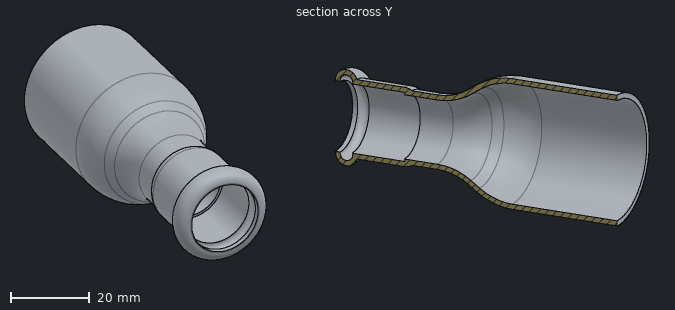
import cadquery as cq
import math


length = 81.0
large_radius = 35.0 / 2
neck_radius = 20.0 / 2
socket_radius = 21.3 / 2
mouth_radius = 18.7 / 2
bore_radius = 32.0 / 2
wall = large_radius - bore_radius

large_tube_end = 30.1
reducer_angle = math.radians(34)
shoulder_arc = 18.2
throat_arc = 15.7
socket_step_start = 58.9
socket_step_end = 61.1
bead_arc = 3.2
bead_top_radius = 12.9

sin_a = math.sin(reducer_angle)
cos_a = math.cos(reducer_angle)
arcs_drop = (shoulder_arc + throat_arc) * (1 - cos_a)
cone_length = (large_radius - neck_radius - arcs_drop) / sin_a
neck_start = large_tube_end + (shoulder_arc + throat_arc) * sin_a + cone_length * cos_a
bead_x = length - bead_arc
bead_centre_radius = bead_top_radius - bead_arc


def arc_point(centre, radius, angle):
    """Point on a circle, with the angle measured from the radial direction towards +X."""
    return (centre[0] + radius * math.sin(angle), centre[1] + radius * math.cos(angle))


def reducer(profile, offset):
    """Add the shoulder, cone and throat, moved inward by offset, to the profile."""
    shoulder_centre = (large_tube_end, large_radius - shoulder_arc)
    throat_centre = (neck_start, neck_radius + throat_arc)
    shoulder_size = shoulder_arc - offset
    throat_size = -(throat_arc + offset)
    return (
        profile
        .threePointArc(
            arc_point(shoulder_centre, shoulder_size, reducer_angle / 2),
            arc_point(shoulder_centre, shoulder_size, reducer_angle),
        )
        .lineTo(*arc_point(throat_centre, throat_size, reducer_angle))
        .threePointArc(
            arc_point(throat_centre, throat_size, reducer_angle / 2),
            (neck_start, neck_radius - offset),
        )
    )


def bead(profile, arc_radius, start_radius, end_radius):
    """Add the bead arc from start_radius on its inlet side to end_radius at the mouth."""
    centre = (bead_x, bead_centre_radius)
    start_angle = -math.acos((start_radius - bead_centre_radius) / arc_radius)
    end_angle = math.acos((end_radius - bead_centre_radius) / arc_radius)
    return (
        profile
        .lineTo(*arc_point(centre, arc_radius, start_angle))
        .threePointArc(
            arc_point(centre, arc_radius, 0),
            arc_point(centre, arc_radius, end_angle),
        )
    )


def revolve_about_x(profile):
    """Close a half profile along the axis and revolve it."""
    return profile.close().revolve(360, (0, 0, 0), (1, 0, 0))


def outer_body():
    profile = cq.Workplane("XY").lineTo(0, large_radius).lineTo(large_tube_end, large_radius)
    profile = reducer(profile, 0).lineTo(socket_step_start, neck_radius)
    step_width = socket_step_end - socket_step_start
    step_height = socket_radius - neck_radius
    step_arc = (step_width**2 + step_height**2) / (2 * step_height)
    half_angle = math.asin(step_width / step_arc) / 2
    step_centre = (socket_step_end, socket_radius - step_arc)
    profile = profile.threePointArc(
        arc_point(step_centre, step_arc, -half_angle), (socket_step_end, socket_radius)
    )
    profile = bead(profile, bead_arc, socket_radius, bead_centre_radius)
    profile = profile.lineTo(length, 0)
    return revolve_about_x(profile)


def bore():
    """Inner surface one wall thickness inside the body, with a seal groove in the bead."""
    profile = cq.Workplane("XY").lineTo(0, bore_radius)
    profile = profile.lineTo(large_tube_end, bore_radius)
    profile = reducer(profile, wall)
    profile = profile.lineTo(socket_step_end, neck_radius - wall)
    profile = profile.lineTo(socket_step_end, socket_radius - wall)
    profile = bead(profile, bead_arc - wall, socket_radius - wall, mouth_radius)
    profile = profile.lineTo(length, mouth_radius).lineTo(length, 0)
    return revolve_about_x(profile)


result = outer_body().cut(bore())